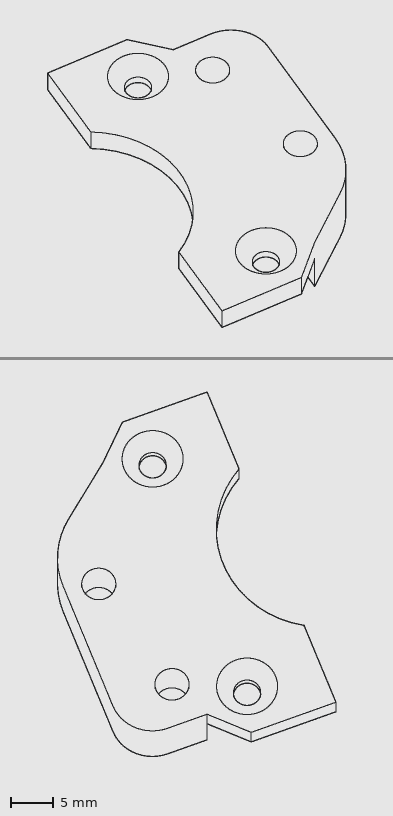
import cadquery as cq
import math

length = 42.3
depth = 24.7
height = 8.0

plate_thickness = 3.0
block_depth = 10.0
shoulder = 4.0
left_corner_radius = 5.0
right_corner_radius = 10.0
right_arc_start_x = 4.2

cutout_width = 21.3
cutout_rise = 6.1

screw_spacing = 31.0
screw_y = 9.05
screw_diameter = 3.2
sink_diameter = 7.2
sink_angle = 90.0

pin_diameter = 4.0
pin_depth = 6.0
pin_centers = [(-12.1, 17.2), (2.9, 20.7)]

half_length = length / 2
block_half = half_length - shoulder
block_front_y = depth - block_depth
shoulder_y = block_front_y - shoulder

arc_center_y = depth - right_corner_radius
to_corner_x = block_half - right_arc_start_x
to_corner_y = block_front_y - arc_center_y
corner_distance = math.hypot(to_corner_x, to_corner_y)
tangent_angle = math.atan2(to_corner_y, to_corner_x) + math.acos(right_corner_radius / corner_distance)


def right_arc_point(angle):
    return (
        right_arc_start_x + right_corner_radius * math.cos(angle),
        arc_center_y + right_corner_radius * math.sin(angle),
    )


def add_rear_edges(sketch):
    """Continue from the right block corner around the rear to the left block corner."""
    diagonal = left_corner_radius * (1 - math.sqrt(0.5))
    return (
        sketch.lineTo(*right_arc_point(tangent_angle))
        .threePointArc(
            right_arc_point((tangent_angle + math.pi / 2) / 2),
            (right_arc_start_x, depth),
        )
        .lineTo(-block_half + left_corner_radius, depth)
        .threePointArc(
            (-block_half + diagonal, depth - diagonal),
            (-block_half, depth - left_corner_radius),
        )
        .lineTo(-block_half, block_front_y)
    )


def make_plate():
    """Top plate with the round cutout in its front edge."""
    sketch = (
        cq.Workplane("XY", origin=(0, 0, height - plate_thickness))
        .moveTo(-half_length, 0)
        .lineTo(-cutout_width / 2, 0)
        .threePointArc((0, cutout_rise), (cutout_width / 2, 0))
        .lineTo(half_length, 0)
        .lineTo(half_length, shoulder_y)
        .lineTo(block_half, block_front_y)
    )
    return add_rear_edges(sketch).lineTo(-half_length, shoulder_y).close().extrude(plate_thickness)


def make_block():
    """Full-height rear block below the plate."""
    sketch = cq.Workplane("XY").moveTo(block_half, block_front_y)
    return add_rear_edges(sketch).close().extrude(height)


top_plane = cq.Workplane("XY", origin=(0, 0, height))
screw_centers = [(side * screw_spacing / 2, screw_y) for side in (-1, 1)]

result = make_plate().union(make_block())
result = (
    result.copyWorkplane(top_plane)
    .pushPoints(screw_centers)
    .cskHole(screw_diameter, sink_diameter, sink_angle)
)
result = result.copyWorkplane(top_plane).pushPoints(pin_centers).hole(pin_diameter, pin_depth)